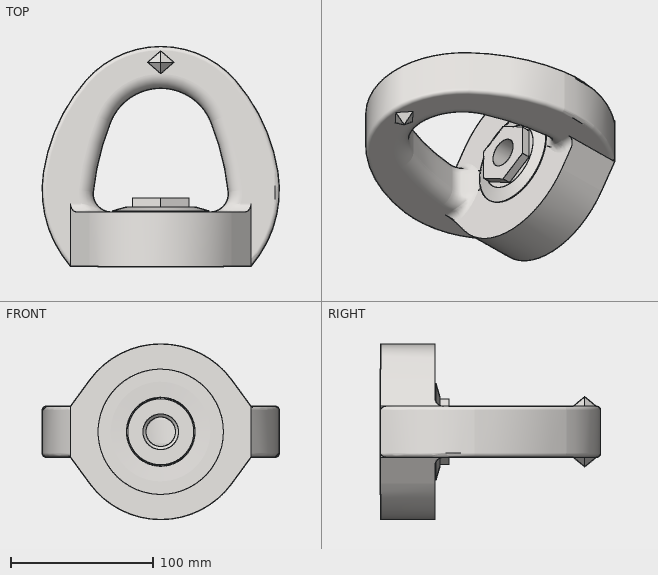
import cadquery as cq
import math

EYE_HEIGHT = 154.5
EYE_WIDTH = 166.7
EYE_THICKNESS = 36.0
EYE_CROWN_RADIUS = 69.7
EYE_FLANK_RADIUS = 127.5
EYE_FOOT_RADIUS = 82.2
EYE_CROWN_ANGLE = 41.0
EYE_RIM_FILLET = 3.0

OPENING_TOP = 125.0
OPENING_CROWN_RADIUS = 37.8
OPENING_FLANK_RADIUS = 182.2
OPENING_CORNER_RADIUS = 12.7
OPENING_CROWN_ANGLE = 21.9
OPENING_FILLET = 10.0

BASE_HEIGHT = 38.3
BASE_RADIUS = 61.77
BASE_FILLET = 5.7

POINT_CENTRE_Y = 143.4
POINT_HALF_WIDTH = 9.2
POINT_HALF_LENGTH = 8.0
POINT_HEIGHT = 6.7

FLANGE_DIAMETER = 88.0
FLANGE_PROTRUSION = 0.5
FLANGE_DEPTH = BASE_HEIGHT / 2
NECK_DIAMETER = 68.0
NECK_PROTRUSION = 0.7
CONE_TOP_Y = 41.8
BUSHING_BORE = 48.2
DISH_DIAMETER = 70.0
DISH_DEPTH = 0.5

AXLE_DIAMETER = 48.0
AXLE_CHAMFER = 0.8
AXLE_BORE = 20.7
AXLE_COUNTERSINK = 25.0
HEX_ACROSS_FLATS = 40.0
HEX_TOP_Y = 48.2


def polar(centre, radius, angle):
    """Point on a circle, with the angle in radians from +X."""
    return (centre[0] + radius * math.cos(angle), centre[1] + radius * math.sin(angle))


def arch_side(top, crown_radius, flank_radius, foot_radius, crown_angle, foot_angle, end_angle):
    """(middle, end) of the three tangent arcs down the +X side of an arch.

    foot_angle and end_angle give an angle from the flank centre and the foot centre.
    """
    crown_centre = (0, top - crown_radius)
    flank_centre = polar(crown_centre, crown_radius - flank_radius, crown_angle)
    joint_angle = foot_angle(flank_centre)
    foot_centre = polar(flank_centre, flank_radius - foot_radius, joint_angle)
    last_angle = end_angle(foot_centre)
    arcs = [
        (crown_centre, crown_radius, math.pi / 2, crown_angle),
        (flank_centre, flank_radius, crown_angle, joint_angle),
        (foot_centre, foot_radius, joint_angle, last_angle),
    ]
    return [(polar(c, r, (a + b) / 2), polar(c, r, b)) for c, r, a, b in arcs]


def arch_prism(top, arcs):
    """Extrude a symmetric arch, closed by a straight bottom, through the eye thickness."""
    def flip(point):
        return (-point[0], point[1])

    outline = cq.Workplane("XY", origin=(0, 0, -EYE_THICKNESS / 2)).moveTo(0, top)
    for middle, end in arcs:
        outline = outline.threePointArc(middle, end)
    outline = outline.lineTo(*flip(arcs[-1][1]))

    starts = [(0, top)] + [end for _, end in arcs[:-1]]
    for start, (middle, _) in zip(reversed(starts), reversed(arcs)):
        outline = outline.threePointArc(flip(middle), flip(start))
    return outline.close().extrude(EYE_THICKNESS)


def eye_arcs():
    def foot_angle(flank_centre):
        foot_centre_x = EYE_WIDTH / 2 - EYE_FOOT_RADIUS
        return math.acos((foot_centre_x - flank_centre[0]) / (EYE_FLANK_RADIUS - EYE_FOOT_RADIUS))

    def end_angle(foot_centre):
        return math.asin(-foot_centre[1] / EYE_FOOT_RADIUS)

    return arch_side(EYE_HEIGHT, EYE_CROWN_RADIUS, EYE_FLANK_RADIUS, EYE_FOOT_RADIUS,
                     math.radians(EYE_CROWN_ANGLE), foot_angle, end_angle)


foot_end = eye_arcs()[-1][1]
BASE_HALF_WIDTH = foot_end[0]


def eye_blank():
    blank = arch_prism(EYE_HEIGHT, eye_arcs())
    return blank.faces("|Z").edges("not(<Y)").fillet(EYE_RIM_FILLET)


def eye_opening():
    def foot_angle(flank_centre):
        corner_centre_y = BASE_HEIGHT + OPENING_CORNER_RADIUS
        return math.asin((corner_centre_y - flank_centre[1]) / (OPENING_FLANK_RADIUS - OPENING_CORNER_RADIUS))

    def end_angle(_):
        return -math.pi / 2

    arcs = arch_side(OPENING_TOP, OPENING_CROWN_RADIUS, OPENING_FLANK_RADIUS, OPENING_CORNER_RADIUS,
                     math.radians(OPENING_CROWN_ANGLE), foot_angle, end_angle)
    return arch_prism(OPENING_TOP, arcs)


def make_eye():
    eye = eye_blank().cut(eye_opening())
    near_opening = cq.selectors.BoxSelector(
        (-BASE_HALF_WIDTH, BASE_HEIGHT - 1.7, -EYE_THICKNESS),
        (BASE_HALF_WIDTH, OPENING_TOP + 1.7, EYE_THICKNESS),
    )
    return eye.faces("|Z").edges(near_opening).fillet(OPENING_FILLET)


def y_cylinder(diameter, start, end):
    return cq.Workplane("XZ", origin=(0, start, 0)).circle(diameter / 2).extrude(start - end)


def base_prism(height):
    """Round base whose tangent sides run in to the two faces of the eye."""
    corner_x, corner_z = BASE_HALF_WIDTH, EYE_THICKNESS / 2
    corner_reach = math.hypot(corner_x, corner_z)
    tangent_angle = math.atan2(corner_z, corner_x) + math.acos(BASE_RADIUS / corner_reach)
    tangent_x, tangent_z = polar((0, 0), BASE_RADIUS, tangent_angle)
    return (
        cq.Workplane("XZ")
        .moveTo(corner_x, corner_z)
        .lineTo(tangent_x, tangent_z)
        .threePointArc((0, BASE_RADIUS), (-tangent_x, tangent_z))
        .lineTo(-corner_x, corner_z)
        .lineTo(-corner_x, -corner_z)
        .lineTo(-tangent_x, -tangent_z)
        .threePointArc((0, -BASE_RADIUS), (tangent_x, -tangent_z))
        .lineTo(corner_x, -corner_z)
        .close()
        .extrude(-height)
    )


def crown_point():
    """Rhombic pyramid standing on the +Z face of the eye."""
    base_z = EYE_THICKNESS / 2
    tip = cq.Vector(0, POINT_CENTRE_Y, base_z + POINT_HEIGHT)
    corners = [
        cq.Vector(POINT_HALF_WIDTH, POINT_CENTRE_Y, base_z),
        cq.Vector(0, POINT_CENTRE_Y + POINT_HALF_LENGTH, base_z),
        cq.Vector(-POINT_HALF_WIDTH, POINT_CENTRE_Y, base_z),
        cq.Vector(0, POINT_CENTRE_Y - POINT_HALF_LENGTH, base_z),
    ]
    outlines = [corners] + [[corners[i - 1], corners[i], tip] for i in range(len(corners))]
    faces = [cq.Face.makeFromWires(cq.Wire.makePolygon(points, close=True)) for points in outlines]
    return cq.Workplane(cq.Solid.makeSolid(cq.Shell.makeShell(faces)))


def make_ring():
    ring = make_eye().union(base_prism(BASE_HEIGHT))

    margin = 0.2
    half_seam = EYE_THICKNESS / 2 + margin
    seam = cq.selectors.BoxSelector(
        (-BASE_HALF_WIDTH, BASE_HEIGHT - margin, -half_seam),
        (BASE_HALF_WIDTH, BASE_HEIGHT + margin, half_seam),
    )
    ring = ring.edges(seam).fillet(BASE_FILLET)

    point = crown_point()
    ring = ring.union(point).union(point.mirror("XY"))

    ring = ring.cut(y_cylinder(FLANGE_DIAMETER, 0, FLANGE_DEPTH))
    return ring.cut(y_cylinder(NECK_DIAMETER, 0, BASE_HEIGHT + NECK_PROTRUSION))


def make_bushing():
    """Flanged bushing with a conical back and a shallow dished front, revolved about Y."""
    return (
        cq.Workplane("XY")
        .moveTo(BUSHING_BORE / 2, DISH_DEPTH - FLANGE_PROTRUSION)
        .lineTo(DISH_DIAMETER / 2, -FLANGE_PROTRUSION)
        .lineTo(FLANGE_DIAMETER / 2, -FLANGE_PROTRUSION)
        .lineTo(FLANGE_DIAMETER / 2, FLANGE_DEPTH)
        .lineTo(NECK_DIAMETER / 2, FLANGE_DEPTH)
        .lineTo(NECK_DIAMETER / 2, BASE_HEIGHT + NECK_PROTRUSION)
        .lineTo(BUSHING_BORE / 2, CONE_TOP_Y)
        .close()
        .revolve(360, (0, 0, 0), (0, 1, 0))
    )


def make_axle():
    """Hollow axle with a hexagon at the back, two of its corners on the Z axis."""
    front_y = -FLANGE_PROTRUSION
    shank = y_cylinder(AXLE_DIAMETER, front_y, CONE_TOP_Y).faces("<Y").chamfer(AXLE_CHAMFER)
    across_corners = HEX_ACROSS_FLATS / math.cos(math.pi / 6)
    hexagon = (
        cq.Workplane("XZ", origin=(0, CONE_TOP_Y, 0))
        .transformed(rotate=(0, 0, 90))
        .polygon(6, across_corners)
        .extrude(CONE_TOP_Y - HEX_TOP_Y)
    )
    axle = shank.union(hexagon).cut(y_cylinder(AXLE_BORE, front_y, HEX_TOP_Y))
    rim = cq.selectors.RadiusNthSelector(0)
    return axle.faces("<Y").edges(rim).chamfer((AXLE_COUNTERSINK - AXLE_BORE) / 2)


ring = make_ring()
bushing = make_bushing()
axle = make_axle()

result = cq.Compound.makeCompound([ring.solids().val(), bushing.val(), axle.solids().val()])